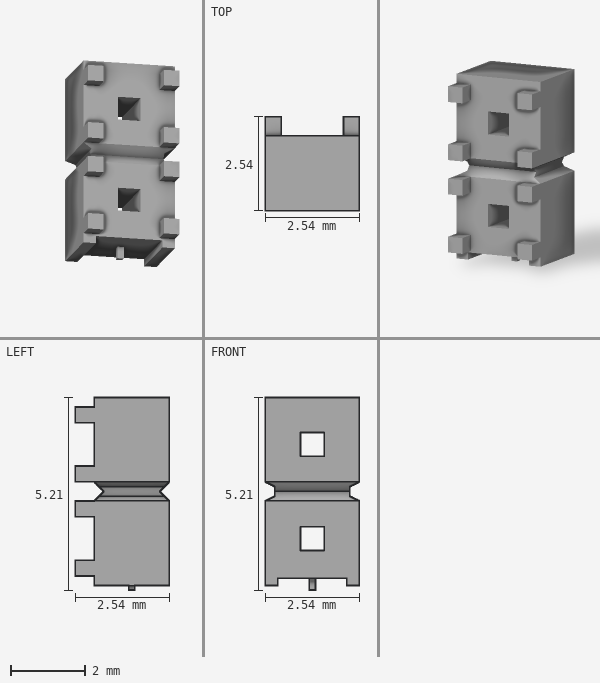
import cadquery as cq

pitch = 2.54
total_height = 5.21
groove_height = 0.51
groove_depth = 0.255
foot_length = 0.51
foot_size = 0.43
foot_inset = 0.255
window_size = 0.635
pin_size = 0.17
slot_width = 1.855
slot_depth = 0.2

body_depth = pitch - foot_length
body_height = 2 * pitch
body_bottom = total_height - body_height
waist_z = body_bottom + pitch
center_y = body_depth / 2
half_width = pitch / 2
half_groove = groove_height / 2


def box(size_x, size_y, size_z, x, y, z):
    """Box centred on x and y, standing on z."""
    return cq.Workplane("XY").box(size_x, size_y, size_z, centered=(True, True, False)).translate((x, y, z))


def v_groove(face_y, inward):
    """V-shaped groove along X in the front or back face."""
    tip_y = face_y + inward * groove_depth
    outline = [(face_y, waist_z - half_groove), (tip_y, waist_z), (face_y, waist_z + half_groove)]
    return cq.Workplane("YZ").polyline(outline).close().extrude(half_width, both=True)


def side_groove(side):
    """Flat-bottomed groove along Y in the left (-1) or right (1) face."""
    face_x = side * half_width
    floor_x = side * (half_width - groove_depth)
    half_floor = half_groove / 2
    outline = [
        (face_x, waist_z - half_groove),
        (floor_x, waist_z - half_floor),
        (floor_x, waist_z + half_floor),
        (face_x, waist_z + half_groove),
    ]
    return cq.Workplane("XZ").polyline(outline).close().extrude(-body_depth)


result = box(pitch, body_depth, body_height, 0, center_y, body_bottom)
result = result.cut(v_groove(0, 1)).cut(v_groove(body_depth, -1))
for side in (-1, 1):
    result = result.cut(side_groove(side))

for window_z in (waist_z - pitch / 2, waist_z + pitch / 2):
    result = result.cut(box(window_size, body_depth, window_size, 0, center_y, window_z - window_size / 2))

result = result.cut(box(slot_width, body_depth, slot_depth, 0, center_y, body_bottom))
result = result.union(box(pin_size, pin_size, body_bottom + slot_depth, 0, center_y, 0))

foot_bottoms = [
    body_bottom + foot_inset,
    waist_z - half_groove - foot_size,
    waist_z + half_groove,
    total_height - foot_inset - foot_size,
]
foot_x = half_width - foot_size / 2
foot_y = body_depth + foot_length / 2
for foot_z in foot_bottoms:
    for side in (-1, 1):
        result = result.union(box(foot_size, foot_length, foot_size, side * foot_x, foot_y, foot_z))